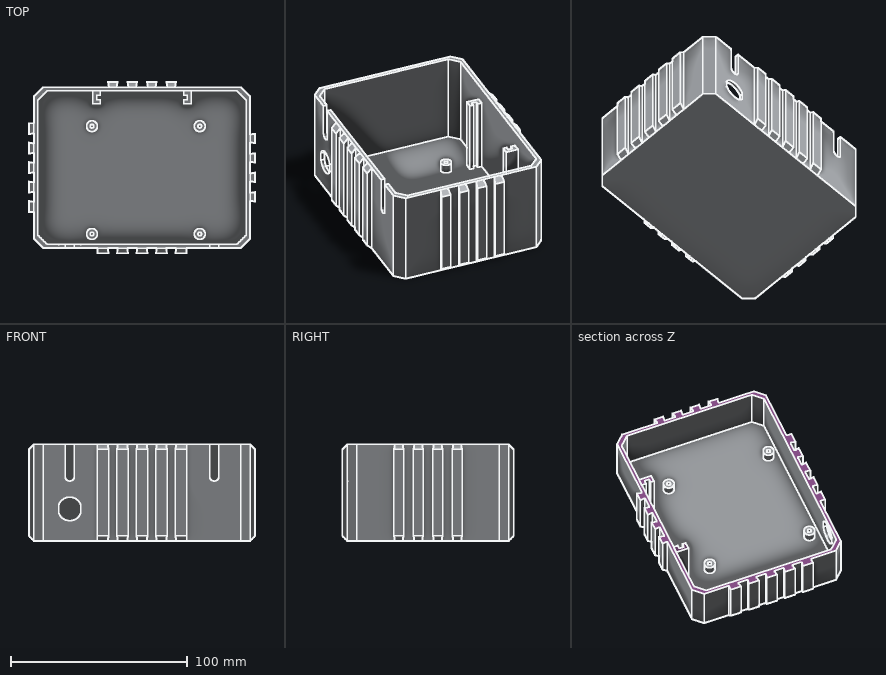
import cadquery as cq

rib_depth = 3.0
outer_length = 128
outer_width = 97.0
body_length = outer_length - 2 * rib_depth
body_width = outer_width - 2 * rib_depth
height = 54.8
wall = 2.2
floor = 2.2
corner_bevel = 5.3

rib_pitch = 11.0
rib_count = 5
mating_rib_count = rib_count - 1
rib_width = 6.4
mating_rib_width = 5.5
undercut = 0.5

slot_width = 5.3
slot_depth = 20.9
slot_offset = 40.8
hole_diameter = 13.3
hole_width = 12.4
hole_height = 18.2

standoff_diameter = 6.1
standoff_bore = 2.0
standoff_height = 5.3
standoff_spacing = 61.0
standoff_center_x = 2.2
standoff_center_y = -7.0

rail_span = 55.7
rail_width = 4.4
rail_length = 7.3
rail_height = 43.2
groove_width = 2.5
groove_depth = 2.2
groove_offset = 2.5

inner_face_y = body_width / 2 - wall


def bevelled_block(length, width, block_height):
    """Upright block with its four vertical edges bevelled."""
    block = cq.Workplane("XY").box(length, width, block_height, centered=(True, True, False))
    return block.edges("|Z").chamfer(corner_bevel)


def make_rib(wall_distance, center, width, left_undercut, right_undercut):
    """Upright rib on a -Y facing wall, undercut at its root and sloped to the wall at both ends."""
    left = center - width / 2
    right = center + width / 2
    tip_distance = wall_distance + rib_depth
    rib = (
        cq.Workplane("XY")
        .polyline([
            (left, -tip_distance),
            (right, -tip_distance),
            (right - right_undercut, -wall_distance),
            (left + left_undercut, -wall_distance),
        ])
        .close()
        .extrude(height)
    )
    end_slopes = (
        cq.Workplane("YZ")
        .polyline([
            (-wall_distance, 0),
            (-wall_distance, height),
            (-tip_distance, height - rib_depth),
            (-tip_distance, rib_depth),
        ])
        .close()
        .extrude(width, both=True)
        .translate((center, 0, 0))
    )
    return rib.intersect(end_slopes)


def make_rib_row(wall_distance, count, width, straight_ends):
    """List of evenly spaced ribs; straight_ends leaves the two outermost sides without undercut."""
    row = []
    for i in range(count):
        center = (i - (count - 1) / 2) * rib_pitch
        left_undercut = 0 if straight_ends and i == 0 else undercut
        right_undercut = 0 if straight_ends and i == count - 1 else undercut
        row.append(make_rib(wall_distance, center, width, left_undercut, right_undercut))
    return row


def add_rib_row(shell, row, angle):
    """Turn a row of ribs about Z from the -Y wall to another wall and join it to the shell."""
    for rib in row:
        shell = shell.union(rib.rotate((0, 0, 0), (0, 0, 1), angle))
    return shell


def add_ribs(shell):
    """Ribs on the -Y and -X walls, narrower mating ribs on the +Y and +X walls."""
    for wall_distance, angle in ((body_width / 2, 0), (body_length / 2, -90)):
        ribs = make_rib_row(wall_distance, rib_count, rib_width, True)
        shell = add_rib_row(shell, ribs, angle)
        mating_ribs = make_rib_row(wall_distance, mating_rib_count, mating_rib_width, False)
        shell = add_rib_row(shell, mating_ribs, angle + 180)
    return shell


def make_cable_slot(x):
    """Round-bottomed slot cutter, open at the rim."""
    round_center = height - slot_depth + slot_width / 2
    plane = cq.Workplane("XZ", origin=(x, -body_width / 2 + wall, 0))
    bottom = plane.center(0, round_center).circle(slot_width / 2).extrude(wall)
    shaft = (
        plane.center(0, (round_center + height) / 2)
        .rect(slot_width, height - round_center)
        .extrude(wall)
    )
    return bottom.union(shaft)


def make_socket_hole():
    """Round hole cutter with a flat on each side."""
    plane = cq.Workplane("XZ", origin=(-slot_offset, -body_width / 2 + wall, hole_height))
    disc = plane.circle(hole_diameter / 2).extrude(wall)
    return disc.intersect(plane.rect(hole_width, hole_diameter).extrude(wall))


def make_housing():
    """Open box with outer ribs, two cable slots and a socket hole."""
    cavity = bevelled_block(body_length - 2 * wall, body_width - 2 * wall, height)
    shell = bevelled_block(body_length, body_width, height).cut(cavity.translate((0, 0, floor)))
    shell = add_ribs(shell)
    for x in (-slot_offset, slot_offset):
        shell = shell.cut(make_cable_slot(x))
    return shell.cut(make_socket_hole())


def make_standoff(x, y):
    """Hollow round post standing on the floor."""
    return (
        cq.Workplane("XY", origin=(x, y, floor))
        .circle(standoff_diameter / 2)
        .circle(standoff_bore / 2)
        .extrude(standoff_height)
    )


def make_rail(side):
    """Rail left (side = -1) or right (side = 1) of the middle, with its groove facing the middle."""
    outer_x = side * rail_span / 2
    inner_x = outer_x - side * rail_width
    groove_x = inner_x + side * groove_depth
    groove_start = inner_face_y - groove_offset
    groove_end = groove_start - groove_width
    return (
        cq.Workplane("XY", origin=(0, 0, floor))
        .polyline([
            (outer_x, inner_face_y),
            (inner_x, inner_face_y),
            (inner_x, groove_start),
            (groove_x, groove_start),
            (groove_x, groove_end),
            (inner_x, groove_end),
            (inner_x, inner_face_y - rail_length),
            (outer_x, inner_face_y - rail_length),
        ])
        .close()
        .extrude(rail_height)
    )


housing = make_housing()

standoffs = cq.Workplane("XY")
for x_side in (-1, 1):
    for y_side in (-1, 1):
        x = standoff_center_x + x_side * standoff_spacing / 2
        y = standoff_center_y + y_side * standoff_spacing / 2
        standoffs = standoffs.add(make_standoff(x, y))

rails = cq.Workplane("XY")
for side in (-1, 1):
    rails = rails.add(make_rail(side))

result = cq.Compound.makeCompound([housing.val(), *standoffs.vals(), *rails.vals()])